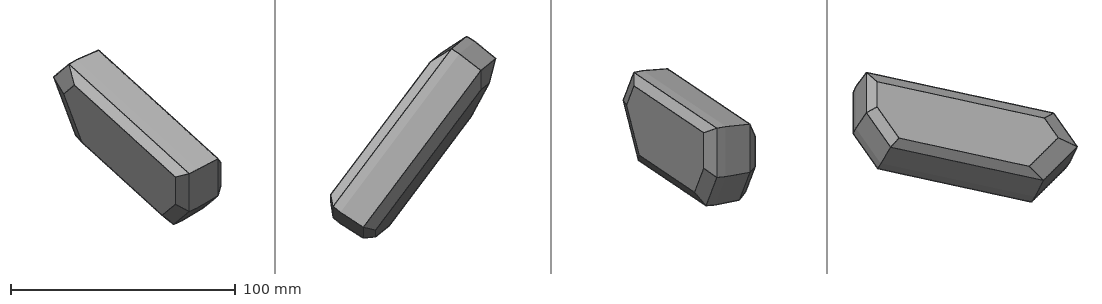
import cadquery as cq
import math

length = 101.1
height = 40.1
tip_height = 23.6
slant_angle = 55.0

front_rim_y = 4.4
parting_y = 8.8
back_rim_y = 20.8
depth = 25.1
draft_angle = 3.0

right_corner_height = 16.8

front_insets = [3.0, 4.5, 5.9, 6.4, 12.5, 10.0]
back_insets = [8.0, 4.1, 4.1, 3.3, 8.9, 9.7]

sides = [
    ((0, height), 90),
    ((length, 0), 0),
    ((length, right_corner_height), slant_angle - 90),
    ((0, 0), -90),
    ((0, tip_height), -90 - slant_angle),
    ((0, tip_height), 90 + slant_angle),
]


def side_line(side, inset):
    """Return a, b, c of the inset side, as the line a*x + b*z = c."""
    (x, z), normal_angle = side
    a = math.cos(math.radians(normal_angle))
    b = math.sin(math.radians(normal_angle))
    return a, b, a * x + b * z - inset


def crossing(first, second):
    """Return the point where two lines meet."""
    a1, b1, c1 = first
    a2, b2, c2 = second
    determinant = a1 * b2 - a2 * b1
    return (c1 * b2 - c2 * b1) / determinant, (a1 * c2 - a2 * c1) / determinant


def section(y, insets):
    """Return the closed six-sided wire at depth y."""
    lines = [side_line(side, inset) for side, inset in zip(sides, insets)]
    corners = [crossing(lines[i - 1], lines[i]) for i in range(len(lines))]
    return cq.Wire.makePolygon([cq.Vector(x, y, z) for x, z in corners], close=True)


def drafted_section(y):
    """Return the section of the drafted side walls at depth y."""
    inset = abs(y - parting_y) * math.tan(math.radians(draft_angle))
    return section(y, [inset] * len(sides))


sections = [
    section(0, front_insets),
    drafted_section(front_rim_y),
    drafted_section(parting_y),
    drafted_section(back_rim_y),
    section(depth, back_insets),
]

result = cq.Workplane("XY")
for near, far in zip(sections, sections[1:]):
    result = result.add(cq.Solid.makeLoft([near, far], True))
result = result.combine()